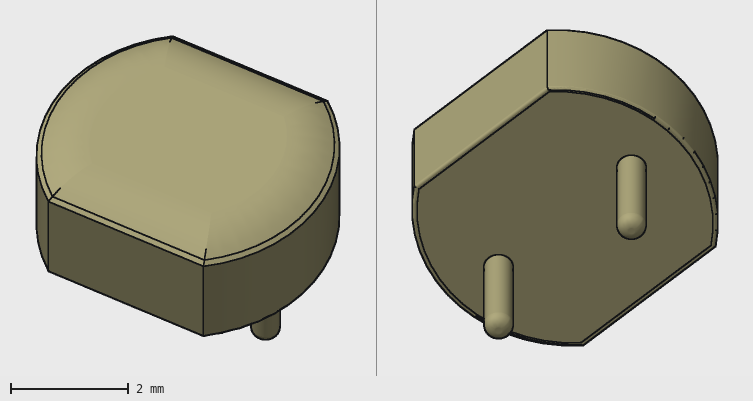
import cadquery as cq
import math

LENGTH = 5.08
WIDTH = 4.3
FLAT_LENGTH = 3.005
HEIGHT = 2.1

DOME_INSET = 0.895
DOME_DROP = 0.29
BOTTOM_ROUNDING = 0.05

SLEEVE_WALL = 0.085

PIN_DIAMETER = 0.5
PIN_LENGTH = 2.0
PIN_TIP_ROUNDING = 0.19
PIN_PITCH = FLAT_LENGTH

END_BULGE = (LENGTH - FLAT_LENGTH) / 2
END_RADIUS = (END_BULGE**2 + (WIDTH / 2) ** 2) / (2 * END_BULGE)
END_CENTER = LENGTH / 2 - END_RADIUS

DOME_RADIUS = (DOME_INSET**2 + DOME_DROP**2) / (2 * DOME_DROP)


def half_profile(reach):
    """Half cross-section from the middle plane out to a side wall at `reach`."""
    flat_reach = reach - DOME_INSET
    half_angle = math.asin(DOME_INSET / DOME_RADIUS) / 2
    arc_middle = (
        flat_reach + DOME_RADIUS * math.sin(half_angle),
        HEIGHT - DOME_RADIUS * (1 - math.cos(half_angle)),
    )
    return (
        cq.Workplane("XZ")
        .lineTo(reach - BOTTOM_ROUNDING, 0)
        .radiusArc((reach, BOTTOM_ROUNDING), -BOTTOM_ROUNDING)
        .lineTo(reach, HEIGHT - DOME_DROP)
        .threePointArc(arc_middle, (flat_reach, HEIGHT))
        .lineTo(0, HEIGHT)
        .close()
    )


def make_envelope():
    """Solid housing shape: two round bodies and a straight bar, intersected."""
    round_body = half_profile(END_RADIUS).revolve(360, (0, 0, 0), (0, 1, 0))
    half_bar = half_profile(WIDTH / 2).extrude(LENGTH / 2, both=True)
    bar = half_bar.union(half_bar.mirror("YZ")).rotate((0, 0, 0), (0, 0, 1), 90)
    right_end = round_body.translate((END_CENTER, 0, 0))
    left_end = round_body.translate((-END_CENTER, 0, 0))
    return right_end.intersect(left_end).intersect(bar)


def make_core_prism():
    """Upright prism that follows the outline one sleeve wall inside it."""
    inner_radius = END_RADIUS - SLEEVE_WALL
    inner_width = WIDTH - 2 * SLEEVE_WALL
    bar = cq.Workplane("XY").rect(LENGTH, inner_width).extrude(HEIGHT)
    right_end = cq.Workplane("XY").center(END_CENTER, 0).circle(inner_radius).extrude(HEIGHT)
    left_end = right_end.mirror("YZ")
    return bar.intersect(right_end).intersect(left_end)


def make_pin(x):
    """Straight round pin below the housing with a rounded tip."""
    return (
        cq.Workplane("XY")
        .center(x, 0)
        .circle(PIN_DIAMETER / 2)
        .extrude(-PIN_LENGTH)
        .faces("<Z")
        .edges()
        .fillet(PIN_TIP_ROUNDING)
    )


envelope = make_envelope()
core_prism = make_core_prism()
core = envelope.intersect(core_prism)
sleeve = envelope.cut(core_prism)
pins = [make_pin(side * PIN_PITCH / 2) for side in (-1, 1)]

result = cq.Compound.makeCompound([core.val(), sleeve.val(), *[pin.val() for pin in pins]])